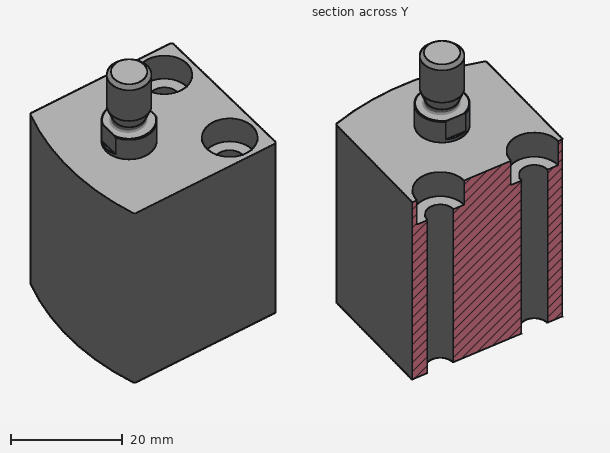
import cadquery as cq

width = 32.0
depth = 33.9
housing_height = 42.0
total_height = 59.0
front_bow = 2.6
corner_radius = 0.5
rod_to_back = 21.0

hole_spacing = 20.0
hole_to_back = 6.0
hole_diameter = 5.5
counterbore_diameter = 10.0
counterbore_depth = 5.7

collar_diameter = 10.0
collar_height = 5.0
collar_chamfer = 0.2
width_across_flats = 9.0
flat_start = 0.7
neck_diameter = 6.2
neck_fillet = 0.6
neck_height = 1.2
taper_height = 2.4
shank_diameter = 8.0
shank_chamfer = 0.75


def make_housing():
    half_width = width / 2
    back = rod_to_back
    front = back - depth
    shoulder = front + front_bow
    block = (
        cq.Workplane("XY")
        .moveTo(-half_width, back)
        .lineTo(-half_width, shoulder)
        .threePointArc((0, front), (half_width, shoulder))
        .lineTo(half_width, back)
        .close()
        .extrude(housing_height)
        .edges("|Z")
        .fillet(corner_radius)
    )
    hole_y = back - hole_to_back
    return (
        block.faces(">Z")
        .workplane(origin=(0, 0, housing_height))
        .pushPoints([(side * hole_spacing / 2, hole_y) for side in (-1, 1)])
        .cboreHole(hole_diameter, counterbore_diameter, counterbore_depth)
    )


def make_rod():
    """Turned rod standing on the housing, with two wrench flats on its collar."""
    collar_radius = collar_diameter / 2
    neck_radius = neck_diameter / 2
    shank_radius = shank_diameter / 2
    collar_top = housing_height + collar_height
    neck_top = collar_top + neck_height
    shank_bottom = neck_top + taper_height

    turned = (
        cq.Workplane("XZ")
        .moveTo(0, housing_height)
        .lineTo(collar_radius, housing_height)
        .lineTo(collar_radius, collar_top - collar_chamfer)
        .lineTo(collar_radius - collar_chamfer, collar_top)
        .lineTo(neck_radius + neck_fillet, collar_top)
        .radiusArc((neck_radius, collar_top + neck_fillet), neck_fillet)
        .lineTo(neck_radius, neck_top)
        .lineTo(shank_radius, shank_bottom)
        .lineTo(shank_radius, total_height - shank_chamfer)
        .lineTo(shank_radius - shank_chamfer, total_height)
        .lineTo(0, total_height)
        .close()
        .revolve(360, (0, 0, 0), (0, 1, 0))
    )

    flat_cutters = (
        cq.Workplane("XY")
        .workplane(offset=housing_height + flat_start)
        .pushPoints([(0, side * (width_across_flats + collar_diameter) / 2) for side in (-1, 1)])
        .rect(collar_diameter, collar_diameter)
        .extrude(collar_height - flat_start)
    )
    return turned.cut(flat_cutters)


housing = make_housing()
rod = make_rod()
result = cq.Compound.makeCompound([housing.val(), rod.val()])